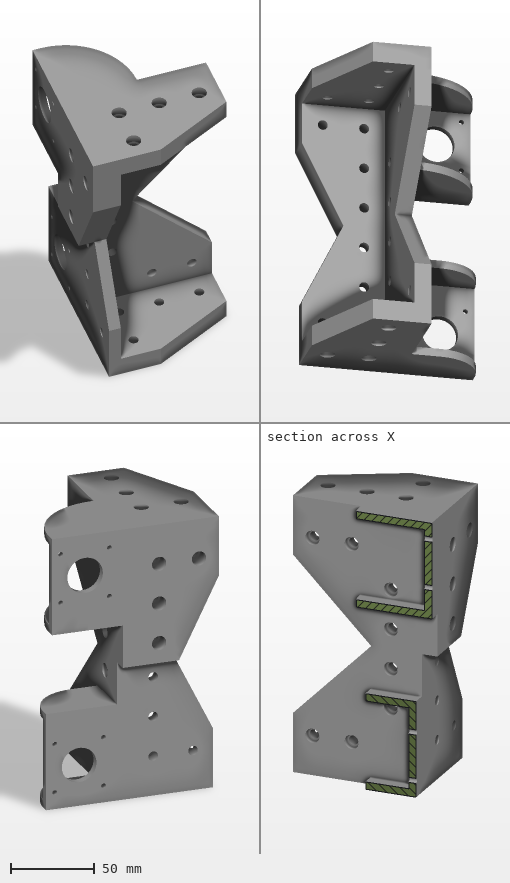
import cadquery as cq
import math

width = 106.3
depth = 93.7
height = 177.4
half_height = height / 2

pitch = 25.4
edge_gap = pitch / 2
long_side = 3 * pitch
short_side = 2 * pitch

corner_x = width - short_side
corner_y = depth - long_side
corner_z = long_side

bolt_dia = 6.0
head_dia = 9.0
bolt_grip = 7.5

box_width = 45.0
box_bottom = 27.1
box_wall = 5.0
motor_x = 21.1
motor_z = 62.6
motor_screw_pitch = 31.0
motor_screw_dia = 3.0

upper_front_y = 0.0
upper_opening_dia = 22.5
upper_cheek_radius = 44.9
lower_front_y = corner_y - bolt_grip
lower_opening_dia = 22.0
lower_cheek_radius = 27.9

near = edge_gap
middle = near + pitch
far = middle + pitch
bolt_places = [(near, near), (near, middle), (near, far), (middle, near)]
side_bolt_places = [(near, middle), (near, far), (middle, near), (far, near)]


def corner_plates(front_y):
    """Front, top and side plates, each with its free corner cut off."""
    front = (
        cq.Workplane("XZ", origin=(0, corner_y, 0))
        .polyline([
            (box_width, 0),
            (width - pitch, 0),
            (width, short_side),
            (width, half_height),
            (box_width, half_height),
        ])
        .close()
        .extrude(corner_y - front_y)
    )
    top = (
        cq.Workplane("XY", origin=(0, 0, corner_z))
        .polyline([
            (box_width, front_y),
            (width, front_y),
            (width, depth - short_side),
            (width - pitch, depth),
            (box_width, depth),
        ])
        .close()
        .extrude(half_height - corner_z)
    )
    side = (
        cq.Workplane("YZ", origin=(box_width, 0, 0))
        .polyline([
            (front_y, 0),
            (depth - short_side, 0),
            (depth, short_side),
            (depth, half_height),
            (front_y, half_height),
        ])
        .close()
        .extrude(corner_x - box_width)
    )
    return front.union(top).union(side)


def cheek(front_y, radius, bottom_z):
    """Level wall of the motor box with a rounded free corner."""
    arc_start_y = front_y + box_wall
    back_y = arc_start_y + radius
    diagonal = radius * math.sin(math.radians(45))
    return (
        cq.Workplane("XY", origin=(0, 0, bottom_z))
        .moveTo(0, front_y)
        .lineTo(box_width, front_y)
        .lineTo(box_width, back_y)
        .lineTo(radius, back_y)
        .threePointArc((radius - diagonal, arc_start_y + diagonal), (0, arc_start_y))
        .close()
        .extrude(box_wall)
    )


def motor_box(front_y, radius):
    """Motor plate between two cheeks."""
    plate = (
        cq.Workplane("XY", origin=(0, front_y, box_bottom))
        .box(box_width, box_wall, half_height - box_bottom, centered=False)
    )
    lower_cheek = cheek(front_y, radius, box_bottom)
    upper_cheek = cheek(front_y, radius, half_height - box_wall)
    return plate.union(lower_cheek).union(upper_cheek)


def motor_holes(front_y, opening_dia):
    """Round opening and four screw holes through the motor plate."""
    face = cq.Workplane("XZ", origin=(motor_x, front_y, motor_z))
    opening = face.circle(opening_dia / 2).extrude(-box_wall)
    screws = (
        face.rect(motor_screw_pitch, motor_screw_pitch, forConstruction=True)
        .vertices()
        .circle(motor_screw_dia / 2)
        .extrude(-box_wall)
    )
    return opening.union(screws)


def bolt_hole(outer_point, direction, thickness, with_head=True):
    """Hole through a plate from its outer face, with an optional recess for the bolt head."""
    start = cq.Vector(*outer_point)
    axis = cq.Vector(*direction)
    hole = cq.Solid.makeCylinder(bolt_dia / 2, thickness, start, axis)
    if with_head:
        hole = hole.fuse(cq.Solid.makeCylinder(head_dia / 2, thickness - bolt_grip, start, axis))
    return hole


def drill_corner(body, front_y, front_heads):
    """Drill the bolt holes of the front, top and side plates."""
    for short, long in bolt_places:
        front_point = (corner_x + short, front_y, corner_z - long)
        body = body.cut(bolt_hole(front_point, (0, 1, 0), corner_y - front_y, front_heads))
        top_point = (corner_x + short, corner_y + long, half_height)
        body = body.cut(bolt_hole(top_point, (0, 0, -1), half_height - corner_z))
    for along_y, down in side_bolt_places:
        side_point = (box_width, corner_y + along_y, corner_z - down)
        body = body.cut(bolt_hole(side_point, (1, 0, 0), corner_x - box_width))
    return body


def bracket(front_y, opening_dia, cheek_radius, front_heads):
    """Corner bracket standing on z = 0 with its top plate uppermost."""
    body = corner_plates(front_y).union(motor_box(front_y, cheek_radius))
    body = body.cut(motor_holes(front_y, opening_dia))
    return drill_corner(body, front_y, front_heads)


upper_bracket = bracket(upper_front_y, upper_opening_dia, upper_cheek_radius, front_heads=True)

lower_bracket = bracket(lower_front_y, lower_opening_dia, lower_cheek_radius, front_heads=False).mirror("XY")

result = cq.Compound.makeCompound([upper_bracket.val(), lower_bracket.val()])